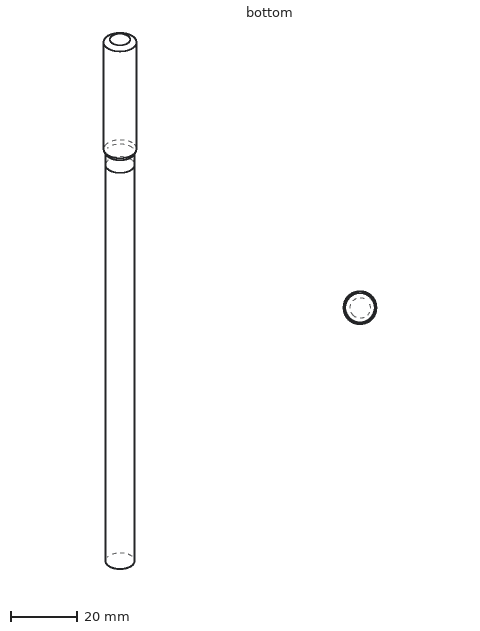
import cadquery as cq

total_length = 192.0
shank_diameter = 10.0
drill_diameter = 8.8
top_z = total_length / 2
tip_z = -total_length / 2

shank_length = 41.0
top_face_diameter = 6.1
top_chamfer_height = 1.0
step_cone_height = 0.5
rim_width = 0.2
rim_height = 0.5
neck_length = 4.6

point_height = 1.5

shank_radius = shank_diameter / 2
drill_radius = drill_diameter / 2
step_z = top_z - shank_length
rim_z = step_z + step_cone_height
joint_z = step_z - neck_length


def revolve_profile(points):
    """Turn a closed (radius, z) outline once around the Z axis."""
    return cq.Workplane("XZ").polyline(points).close().revolve(360, (0, 0, 0), (0, 1, 0))


def make_shank():
    """Gripping cylinder with a wide top chamfer, a beveled conical step and a short neck."""
    return revolve_profile([
        (0, joint_z),
        (drill_radius, joint_z),
        (drill_radius, step_z),
        (shank_radius - rim_width, rim_z),
        (shank_radius, rim_z + rim_height),
        (shank_radius, top_z - top_chamfer_height),
        (top_face_diameter / 2, top_z),
        (0, top_z),
    ])


def make_drill():
    """Long cylinder that ends in a shallow conical point."""
    return revolve_profile([
        (0, tip_z),
        (drill_radius, tip_z + point_height),
        (drill_radius, joint_z),
        (0, joint_z),
    ])


shank = make_shank()
drill = make_drill()

result = cq.Compound.makeCompound([shank.val(), drill.val()])